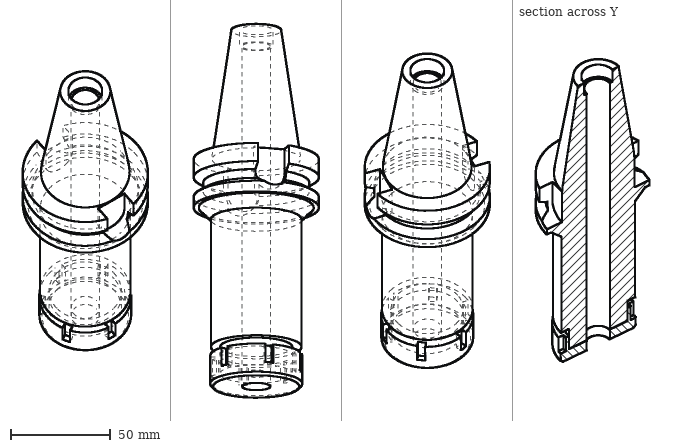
import cadquery as cq
import math

TOTAL_HEIGHT = 185.4

TAPER_LENGTH = 65.5
TAPER_TOP_RADIUS = 12.6
TAPER_BASE_RADIUS = 22.2
COLLAR_HEIGHT = 1.7

FLANGE_RADIUS = 31.5
UPPER_RIM_HEIGHT = 9.5
LOWER_RIM_HEIGHT = 5.5
GROOVE_RADIUS = 26.7
GROOVE_FLOOR_WIDTH = 4.6
GROOVE_WALL_ANGLE = 30.0

DRIVE_SLOT_WIDTH = 16.1
DRIVE_SLOT_LENGTH = 21.3
DRIVE_SLOT_FLOOR = 22.5

BODY_RADIUS = 22.8
BODY_BOTTOM = 20.5
SHOULDER_HEIGHT = 6.1
NECK_RADIUS = 18.2

BORE_RADIUS = 7.0
COUNTERBORE_RADIUS = 8.5
COUNTERBORE_DEPTH = 8.3

NUT_RADIUS = 23.2
NUT_HEIGHT = 16.1
NUT_CHAMFER = 1.5
WRENCH_SLOT_COUNT = 6
WRENCH_SLOT_WIDTH = 4.0
WRENCH_SLOT_LENGTH = 9.5
WRENCH_SLOT_FLOOR = 20.0

taper_base = TOTAL_HEIGHT - TAPER_LENGTH
flange_top = taper_base - COLLAR_HEIGHT
groove_wall_height = (FLANGE_RADIUS - GROOVE_RADIUS) * math.tan(math.radians(GROOVE_WALL_ANGLE))
upper_rim_bottom = flange_top - UPPER_RIM_HEIGHT
groove_top = upper_rim_bottom - groove_wall_height
groove_bottom = groove_top - GROOVE_FLOOR_WIDTH
lower_rim_top = groove_bottom - groove_wall_height
flange_bottom = lower_rim_top - LOWER_RIM_HEIGHT
body_top = flange_bottom - SHOULDER_HEIGHT
shoulder_radius = BODY_RADIUS + SHOULDER_HEIGHT
neck_end = NUT_HEIGHT - WRENCH_SLOT_LENGTH


def cylinder_cutter(radius, bottom, top):
    """Cylinder on the Z axis between two levels."""
    return cq.Workplane("XY").workplane(offset=bottom).circle(radius).extrude(top - bottom)


def drive_slot_cutter(side):
    """Upright slot with a round lower end, cut in from the +X (side=1) or -X (side=-1) edge."""
    half_width = DRIVE_SLOT_WIDTH / 2
    slot_bottom = flange_top - DRIVE_SLOT_LENGTH
    arc_start = slot_bottom + half_width
    return (
        cq.Workplane("YZ", origin=(side * DRIVE_SLOT_FLOOR, 0, 0))
        .moveTo(-half_width, flange_top)
        .lineTo(-half_width, arc_start)
        .threePointArc((0, slot_bottom), (half_width, arc_start))
        .lineTo(half_width, flange_top)
        .close()
        .extrude(side * FLANGE_RADIUS)
    )


def make_holder():
    """Taper shank, grooved flange, cylindrical body and neck, bored through."""
    outline = [
        (0, neck_end),
        (NECK_RADIUS, neck_end),
        (NECK_RADIUS, BODY_BOTTOM),
        (BODY_RADIUS, BODY_BOTTOM),
        (BODY_RADIUS, body_top),
        (shoulder_radius, flange_bottom),
        (FLANGE_RADIUS, flange_bottom),
        (FLANGE_RADIUS, lower_rim_top),
        (GROOVE_RADIUS, groove_bottom),
        (GROOVE_RADIUS, groove_top),
        (FLANGE_RADIUS, upper_rim_bottom),
        (FLANGE_RADIUS, flange_top),
        (TAPER_BASE_RADIUS, flange_top),
        (TAPER_BASE_RADIUS, taper_base),
        (TAPER_TOP_RADIUS, TOTAL_HEIGHT),
        (0, TOTAL_HEIGHT),
    ]
    holder = cq.Workplane("XZ").polyline(outline).close().revolve(360, (0, 0, 0), (0, 1, 0))
    holder = holder.cut(cylinder_cutter(BORE_RADIUS, neck_end, TOTAL_HEIGHT))
    holder = holder.cut(cylinder_cutter(COUNTERBORE_RADIUS, TOTAL_HEIGHT - COUNTERBORE_DEPTH, TOTAL_HEIGHT))
    for side in (-1, 1):
        holder = holder.cut(drive_slot_cutter(side))
    return holder


def wrench_slot_cutter(angle):
    """Radial notch from the nut's upper face, turned about Z by an angle in degrees."""
    return (
        cq.Workplane("XY")
        .box(NUT_RADIUS, WRENCH_SLOT_WIDTH, WRENCH_SLOT_LENGTH, centered=(False, True, False))
        .translate((WRENCH_SLOT_FLOOR, 0, NUT_HEIGHT - WRENCH_SLOT_LENGTH))
        .rotate((0, 0, 0), (0, 0, 1), angle)
    )


def make_nut():
    """Clamping nut with a recess for the holder's neck, a bore and wrench slots."""
    nut = cq.Workplane("XY").circle(NUT_RADIUS).extrude(NUT_HEIGHT)
    nut = nut.faces("<Z").chamfer(NUT_CHAMFER)
    nut = nut.cut(cylinder_cutter(NECK_RADIUS, neck_end, NUT_HEIGHT))
    nut = nut.cut(cylinder_cutter(BORE_RADIUS, 0, neck_end))
    for index in range(WRENCH_SLOT_COUNT):
        nut = nut.cut(wrench_slot_cutter(index * 360 / WRENCH_SLOT_COUNT))
    return nut


holder = make_holder()
nut = make_nut()

result = cq.Compound.makeCompound([holder.val(), nut.val()])